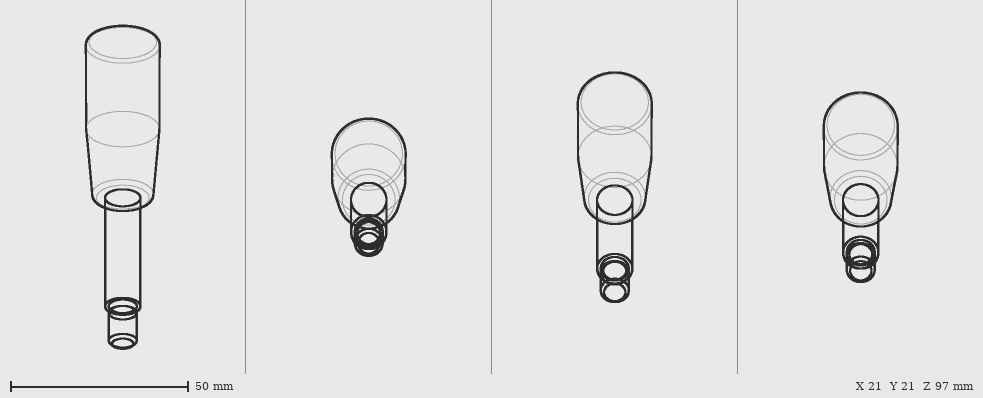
import cadquery as cq

total_height = 97.0
grip_length = 50.1
shoulder_height = 12.0
grip_bottom = total_height - grip_length

grip_top_radius = 10.5
grip_break_radius = 10.4
grip_break_height = 69.1
grip_bottom_radius = 17.2 / 2
grip_top_fillet = 1.0
grip_bottom_fillet = 1.3

shaft_radius = 10.0 / 2
stud_radius = 8.0 / 2
neck_radius = 6.5 / 2
neck_width = 2.0
end_chamfer = 1.0
stud_top = shoulder_height - neck_width
neck_height = shoulder_height - neck_width / 2


def make_grip():
    """Revolved grip with both outer rims rounded."""
    grip = (
        cq.Workplane("XZ")
        .moveTo(0, grip_bottom)
        .lineTo(grip_bottom_radius, grip_bottom)
        .lineTo(grip_break_radius, grip_break_height)
        .lineTo(grip_top_radius, total_height)
        .lineTo(0, total_height)
        .close()
        .revolve(360, (0, 0), (0, 1))
    )
    grip = grip.faces(">Z").edges().fillet(grip_top_fillet)
    return grip.faces("<Z").edges().fillet(grip_bottom_fillet)


def make_spindle():
    """Revolved shaft with a round-bottomed undercut below the shoulder."""
    return (
        cq.Workplane("XZ")
        .lineTo(stud_radius - end_chamfer, 0)
        .lineTo(stud_radius, end_chamfer)
        .lineTo(stud_radius, stud_top)
        .threePointArc((neck_radius, neck_height), (stud_radius, shoulder_height))
        .lineTo(shaft_radius, shoulder_height)
        .lineTo(shaft_radius, grip_bottom)
        .lineTo(0, grip_bottom)
        .close()
        .revolve(360, (0, 0), (0, 1))
    )


result = make_grip().union(make_spindle())